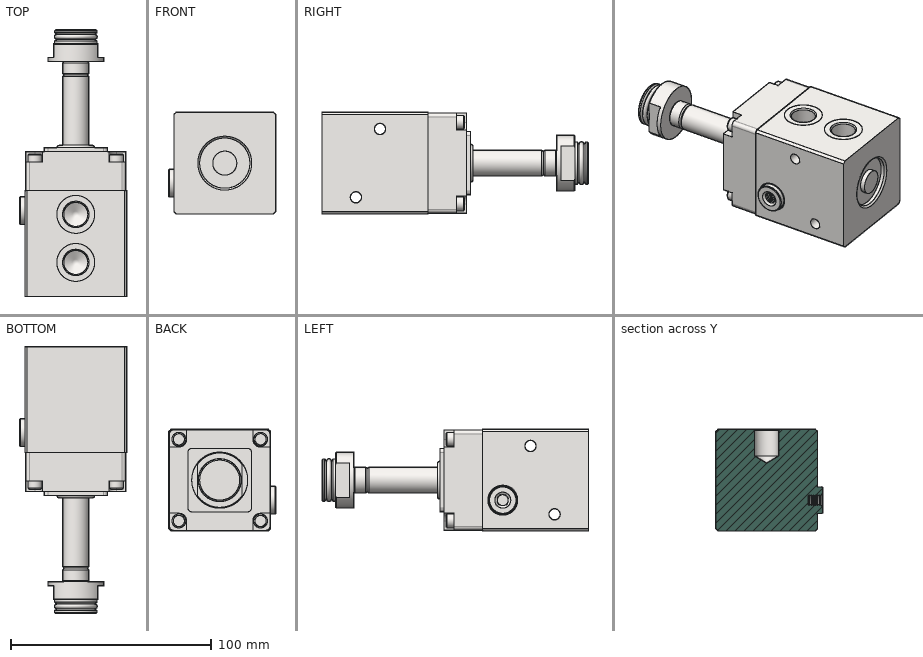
import cadquery as cq
import math


block_width = 51.0
block_length = 53.0
block_edge_chamfer = 1.2

bonnet_width = 50.1
bonnet_rear = 72.4
bonnet_edge_radius = 2.0
notch_floor = 67.2
notch_radius = 3.9
screw_offset = 20.4
screw_diameter = 7.0
screw_rear = 71.3
screw_chamfer = 0.7

plate_width = 31.7
plate_rear = 74.4
plate_corner_radius = 2.0
collar_diameter = 19.0
collar_rear = 75.6
tube_diameter = 13.1
tube_rear = 117.3
tube_chamfer = 0.5
groove_start = 109.9
groove_width = 1.6
groove_depth = 0.7

port_positions = (17.1, 41.1)
port_diameter = 12.0
port_mouth_diameter = 13.2
port_depth = 13.3
drill_angle = 118.0
spotface_diameter = 19.0
spotface_depth = 0.1

mounting_hole_diameter = 5.5
mounting_holes = ((17.1, -17.1), (29.1, 17.1))

recess_mouth_diameter = 27.0
recess_diameter = 25.1
recess_depth = 2.8
recess_chamfer = (recess_mouth_diameter - recess_diameter) / 2
piston_diameter = 12.0
piston_front = 0.4

button_y = 43.0
button_z = -10.0
button_height = 2.5
button_diameter = 14.0
button_chamfer = 0.4
button_seat_diameter = 15.0
button_seat_depth = 0.1
socket_mouth_diameter = 8.0
socket_diameter = 5.5
socket_countersink = 1.0
thread_pitch = 1.1
thread_depth = 0.4
thread_turns = 6

nut_diameter = 28.0
nut_flat_width = 22.1
nut_rear = 126.4
nut_flange_rear = 119.5
nut_edge_chamfer = 0.4
neck_diameter = 21.3
neck_groove_diameter = 18.7
neck_groove_flank = 1.0
neck_chamfer = 0.7
overall_length = 133.4
ring_center = 129.7
ring_section = 2.4
ring_diameter = 21.5


def cylinder_y(diameter, start, end, x=0.0, z=0.0):
    """Round bar along Y from start to end."""
    return cq.Workplane("XZ", origin=(x, start, z)).circle(diameter / 2).extrude(start - end)


def box_y(width, height, start, end, x=0.0, z=0.0):
    """Bar along Y from start to end, centred on x and z."""
    return cq.Workplane("XZ", origin=(x, start, z)).rect(width, height).extrude(start - end)


def revolve_y(profile):
    """Solid of revolution about the Y axis from (radius, y) points."""
    return cq.Workplane("XY").polyline(profile).close().revolve(360, (0, 0, 0), (0, 1, 0))


def make_port_cutter(y):
    """Drilled port with a chamfered mouth, a shallow spotface and a conical bottom."""
    radius = port_diameter / 2
    mouth = port_mouth_diameter / 2
    floor = -spotface_depth
    cone_depth = radius / math.tan(math.radians(drill_angle / 2))
    profile = [
        (0, 0),
        (spotface_diameter / 2, 0),
        (spotface_diameter / 2, floor),
        (mouth, floor),
        (radius, floor - (mouth - radius)),
        (radius, -port_depth),
        (0, -port_depth - cone_depth),
    ]
    cutter = revolve_y(profile).rotate((0, 0, 0), (1, 0, 0), 90)
    return cutter.translate((0, y, block_width / 2))


def make_block():
    """Block with ports, mounting holes and the front recess around the piston end."""
    block = box_y(block_width, block_width, 0, block_length).edges("|Y").chamfer(block_edge_chamfer)
    for y in port_positions:
        block = block.cut(make_port_cutter(y))
    for y, z in mounting_holes:
        hole = cq.Workplane("YZ", origin=(0, y, z)).circle(mounting_hole_diameter / 2)
        block = block.cut(hole.extrude(block_width, both=True))

    recess = revolve_y([
        (0, 0),
        (recess_mouth_diameter / 2, 0),
        (recess_diameter / 2, recess_chamfer),
        (recess_diameter / 2, recess_depth),
        (0, recess_depth),
    ])
    piston = cylinder_y(piston_diameter, piston_front, recess_depth)
    return block.cut(recess).union(piston)


def add_button(block):
    """Button standing in a shallow seat, with a countersunk threaded socket in its face."""
    side = cq.Workplane("YZ", origin=(-block_width / 2, button_y, button_z))
    seat = side.circle(button_seat_diameter / 2).extrude(button_seat_depth)
    button = side.workplane(offset=button_seat_depth).circle(button_diameter / 2)
    button = button.extrude(-button_height - button_seat_depth).faces("<X").chamfer(button_chamfer)
    mouth = socket_mouth_diameter / 2
    bore = socket_diameter / 2
    profile = [(0, 0), (mouth, 0)]
    for turn in range(thread_turns):
        crest = socket_countersink + turn * thread_pitch
        profile += [(bore, crest), (bore + thread_depth, crest + thread_pitch / 2)]
    socket_depth = socket_countersink + thread_turns * thread_pitch
    profile += [(bore, socket_depth), (0, socket_depth)]
    socket = revolve_y(profile)
    socket = socket.rotate((0, 0, 0), (0, 0, 1), -90)
    socket = socket.translate((-block_width / 2 - button_height, button_y, button_z))
    return block.cut(seat).union(button).cut(socket)


def make_bonnet():
    """Square bonnet with a notch in each rear corner for a screw head."""
    bonnet = box_y(bonnet_width, bonnet_width, block_length, bonnet_rear)
    bonnet = bonnet.edges("|Y").fillet(bonnet_edge_radius)
    notch_inner_wall = screw_offset - notch_radius
    notch_outer_wall = bonnet_width / 2 + notch_radius
    notch_width = notch_outer_wall - notch_inner_wall
    notch_center = (notch_outer_wall + notch_inner_wall) / 2
    for x_sign in (-1, 1):
        for z_sign in (-1, 1):
            x = x_sign * notch_center
            z = z_sign * notch_center
            notch = box_y(notch_width, notch_width, notch_floor, bonnet_rear, x, z)
            notch = notch.edges("|Y").fillet(notch_radius)
            screw_x = x_sign * screw_offset
            screw_z = z_sign * screw_offset
            screw = cylinder_y(screw_diameter, notch_floor, screw_rear, screw_x, screw_z)
            screw = screw.faces(">Y").chamfer(screw_chamfer)
            bonnet = bonnet.cut(notch).union(screw)
    return bonnet


def make_tube():
    """Plate, rounded collar and armature tube with a V groove."""
    plate = box_y(plate_width, plate_width, bonnet_rear, plate_rear)
    plate = plate.edges("|Y").fillet(plate_corner_radius)
    collar_radius = collar_diameter / 2
    collar_rounding = collar_rear - plate_rear
    collar = (
        cq.Workplane("XY")
        .moveTo(0, plate_rear)
        .lineTo(collar_radius, plate_rear)
        .radiusArc((collar_radius - collar_rounding, collar_rear), -collar_rounding)
        .lineTo(0, collar_rear)
        .close()
        .revolve(360, (0, 0, 0), (0, 1, 0))
    )
    tube = cylinder_y(tube_diameter, plate_rear, tube_rear).faces(">Y").chamfer(tube_chamfer)
    radius = tube_diameter / 2
    groove = revolve_y([
        (radius, groove_start),
        (radius - groove_depth, groove_start + groove_width / 2),
        (radius, groove_start + groove_width),
    ])
    return plate.union(collar).union(tube.cut(groove))


def make_valve():
    """Complete valve body from the front face to the end of the tube."""
    return add_button(make_block()).union(make_bonnet()).union(make_tube())


def make_nut():
    """Coil nut: flange with two flats, and a grooved neck carrying a sealing ring."""
    body = cylinder_y(nut_diameter, tube_rear, nut_rear).faces(">Y").chamfer(nut_edge_chamfer)
    flats = box_y(nut_flat_width, nut_diameter, nut_flange_rear, nut_rear)
    flange = cylinder_y(nut_diameter, tube_rear, nut_flange_rear)
    body = body.intersect(flats.union(flange))

    land = neck_diameter / 2
    ring_radius = ring_section / 2
    root = neck_groove_diameter / 2
    root_below_section_center = ring_diameter / 2 - ring_radius - root
    groove_half_width = math.sqrt(ring_radius**2 - root_below_section_center**2)
    groove_front = ring_center - groove_half_width
    groove_rear = ring_center + groove_half_width
    neck = (
        cq.Workplane("XY")
        .moveTo(0, nut_rear)
        .lineTo(land, nut_rear)
        .lineTo(land, groove_front - neck_groove_flank)
        .lineTo(root, groove_front)
        .threePointArc((ring_diameter / 2, ring_center), (root, groove_rear))
        .lineTo(land, groove_rear + neck_groove_flank)
        .lineTo(land, overall_length - neck_chamfer)
        .lineTo(land - neck_chamfer, overall_length)
        .lineTo(0, overall_length)
        .close()
        .revolve(360, (0, 0, 0), (0, 1, 0))
    )
    return body.union(neck)


valve = make_valve()
nut = make_nut()

result = cq.Compound.makeCompound([valve.val(), nut.val()])